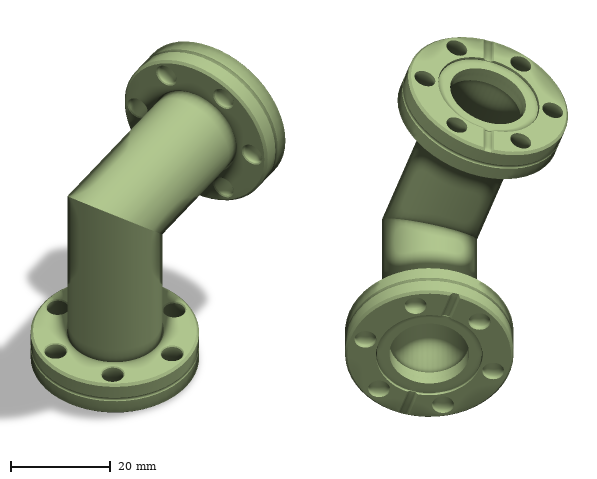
import cadquery as cq


OVERALL = 55.0
RING_DIA = 33.8
ARM_LENGTH = OVERALL - RING_DIA / 2

RING_THICKNESS = 7.7
EDGE_CHAMFER = 0.5
RING_BORE_DIA = 19.2
BORE_CHAMFER = 0.3
HUB_POCKET_DIA = 21.4

RIM_GROOVE_WIDTH = 0.9
RIM_GROOVE_DEPTH = 0.3

BOLT_COUNT = 6
BOLT_CIRCLE_DIA = 27.0
BOLT_HOLE_DIA = 4.4
BOLT_HOLE_CHAMFER = 0.2

LEAK_GROOVE_WIDTH = 2.2
LEAK_GROOVE_DEPTH = EDGE_CHAMFER
LEAK_GROOVE_FLOOR = LEAK_GROOVE_WIDTH - 2 * LEAK_GROOVE_DEPTH

HUB_DIA = 21.1
HUB_RECESS = LEAK_GROOVE_DEPTH
HUB_BORE_DIA = 16.0
TUBE_DIA = 19.1
TUBE_BORE_DIA = 17.2

MATING_FACE_Z = -ARM_LENGTH
HUB_FACE_Z = MATING_FACE_Z + HUB_RECESS
RING_MIDDLE_Z = MATING_FACE_Z + RING_THICKNESS / 2
HUB_TOP_Z = RING_MIDDLE_Z
RING_TOP_Z = MATING_FACE_Z + RING_THICKNESS

MITRE_NORMAL = cq.Vector(0, 1, 1)
CORNER = cq.Vector(0, 0, 0)


def cylinder(diameter, bottom_z, top_z):
    """Solid cylinder on the arm's axis."""
    return cq.Workplane("XY", origin=(0, 0, bottom_z)).circle(diameter / 2).extrude(top_z - bottom_z)


def make_ring_blank():
    """Disc with chamfered rims, a chamfered tube bore and a pocket for the hub."""
    disc = cylinder(RING_DIA, MATING_FACE_Z, RING_TOP_Z).edges().chamfer(EDGE_CHAMFER)
    bored = disc.cut(cylinder(RING_BORE_DIA, MATING_FACE_Z, RING_TOP_Z))
    bore_edge = bored.faces(">Z").edges(cq.selectors.RadiusNthSelector(0))
    return bore_edge.chamfer(BORE_CHAMFER).cut(cylinder(HUB_POCKET_DIA, MATING_FACE_Z, HUB_TOP_Z))


def make_rim_groove():
    """Ring-shaped cutter with a rounded section, on the rim at mid thickness."""
    rim = RING_DIA / 2
    half_mouth = RIM_GROOVE_WIDTH / 2
    outside = rim + RIM_GROOVE_DEPTH
    return (
        cq.Workplane("XZ")
        .moveTo(outside, RING_MIDDLE_Z - half_mouth)
        .lineTo(rim, RING_MIDDLE_Z - half_mouth)
        .threePointArc((rim - RIM_GROOVE_DEPTH, RING_MIDDLE_Z), (rim, RING_MIDDLE_Z + half_mouth))
        .lineTo(outside, RING_MIDDLE_Z + half_mouth)
        .close()
        .revolve(360, (0, 0, 0), (0, 1, 0))
    )


def make_bolt_holes():
    """Cutters for the through holes, widening to a chamfer at the top face."""
    radius = BOLT_HOLE_DIA / 2
    wide_radius = radius + BOLT_HOLE_CHAMFER
    profile = (
        cq.Workplane("XZ")
        .moveTo(0, MATING_FACE_Z)
        .lineTo(radius, MATING_FACE_Z)
        .lineTo(radius, RING_TOP_Z - BOLT_HOLE_CHAMFER)
        .lineTo(wide_radius, RING_TOP_Z)
        .lineTo(0, RING_TOP_Z)
        .close()
    )
    hole = profile.revolve(360, (0, 0, 0), (0, 1, 0)).val()
    return (
        cq.Workplane("XY")
        .polarArray(BOLT_CIRCLE_DIA / 2, 0, 360, BOLT_COUNT)
        .eachpoint(lambda place: hole.moved(place))
    )


def make_leak_groove():
    """Trapezoid cutter along Y across the whole mating face."""
    return (
        cq.Workplane("XZ")
        .moveTo(-LEAK_GROOVE_WIDTH / 2, MATING_FACE_Z)
        .lineTo(-LEAK_GROOVE_FLOOR / 2, MATING_FACE_Z + LEAK_GROOVE_DEPTH)
        .lineTo(LEAK_GROOVE_FLOOR / 2, MATING_FACE_Z + LEAK_GROOVE_DEPTH)
        .lineTo(LEAK_GROOVE_WIDTH / 2, MATING_FACE_Z)
        .close()
        .extrude(RING_DIA / 2, both=True)
    )


def make_ring():
    """Bolt ring that turns freely around the tube and the hub."""
    return (
        make_ring_blank()
        .cut(make_rim_groove())
        .cut(make_bolt_holes())
        .cut(make_leak_groove())
    )


def make_hub():
    """Hub at the end of the tube that carries the bolt ring."""
    return cylinder(HUB_DIA, HUB_FACE_Z, HUB_TOP_Z).cut(cylinder(HUB_BORE_DIA, HUB_FACE_Z, HUB_TOP_Z))


def make_tube():
    """Tube standing on the hub, cut at 45 degrees along the mitre plane."""
    reach = TUBE_DIA / 2
    blank = cylinder(TUBE_DIA, HUB_TOP_Z, reach).cut(cylinder(TUBE_BORE_DIA, HUB_TOP_Z, reach))
    beyond_mitre = (
        cq.Workplane("YZ")
        .moveTo(-reach, reach)
        .lineTo(reach, -reach)
        .lineTo(reach, reach)
        .close()
        .extrude(reach, both=True)
    )
    return blank.cut(beyond_mitre)


bodies = []
for body in (make_tube(), make_hub(), make_ring()):
    bodies.extend(body.solids().vals())
    bodies.extend(body.mirror(MITRE_NORMAL, CORNER).solids().vals())

result = cq.Compound.makeCompound(bodies)